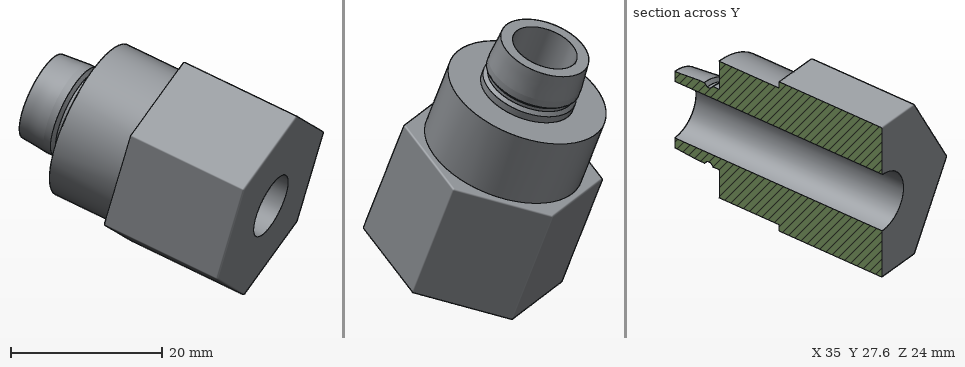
import cadquery as cq
import math

total_length = 35.0
hex_length = 17.5
collar_start = 7.5
taper_length = 4.0
groove_start = 5.0
groove_floor_width = 0.5
groove_depth = 0.5

hex_across_flats = 24.0
hex_edge_radius = 0.25
collar_diameter = 22.0
nose_diameter = 13.0
bore_diameter = 9.0
taper_angle = 5.0

hex_start = total_length - hex_length
nose_radius = nose_diameter / 2
tip_radius = nose_radius - taper_length * math.tan(math.radians(taper_angle))


def make_nose():
    """Spigot with a tapered tip and a groove with 45 degree sides."""
    groove_radius = nose_radius - groove_depth
    floor_start = groove_start + groove_depth
    floor_end = floor_start + groove_floor_width
    groove_end = floor_end + groove_depth
    half_profile = [
        (0, 0),
        (0, tip_radius),
        (taper_length, nose_radius),
        (groove_start, nose_radius),
        (floor_start, groove_radius),
        (floor_end, groove_radius),
        (groove_end, nose_radius),
        (collar_start, nose_radius),
        (collar_start, 0),
    ]
    return cq.Workplane("XZ").polyline(half_profile).close().revolve(360, (0, 0, 0), (1, 0, 0))


def make_collar():
    """Plain round collar between the nose and the hexagon."""
    collar_length = hex_start - collar_start
    return cq.Workplane("YZ", origin=(collar_start, 0, 0)).circle(collar_diameter / 2).extrude(collar_length)


def make_hexagon():
    """Hexagon with corners on the Y axis, flats at top and bottom, and every edge rounded."""
    across_corners = hex_across_flats / math.cos(math.radians(30))
    prism = cq.Workplane("YZ", origin=(hex_start, 0, 0)).polygon(6, across_corners).extrude(hex_length)
    return prism.edges().fillet(hex_edge_radius)


def make_bore():
    """Straight hole through the whole length."""
    return cq.Workplane("YZ").circle(bore_diameter / 2).extrude(total_length)


result = make_nose().union(make_collar()).union(make_hexagon()).cut(make_bore())